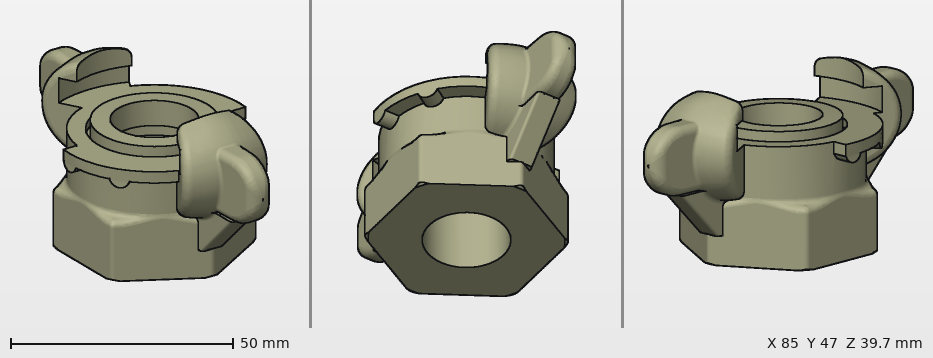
import cadquery as cq
import math

SELECT_MARGIN = 0.1
CLEAR_Z = 51
CLEAR_X = 51

HEX_SIDES = 6
ACROSS_FLATS = 40.0
HEX_CORNER_RADIUS = 1.4
SHOULDER_Z = 14.8
SHOULDER_SWEEP = 1.4
SHOULDER_EDGE_RADIUS = 1.5
BARREL_RADIUS = 19.8
FOOT_BEVEL_ANGLE = 30
HEX_FOOT_RADIUS = 22.2

FLANGE_DIAMETER = 47.0
FLANGE_RADIUS = FLANGE_DIAMETER / 2
FLANGE_BOTTOM_Z = 25.6
FLANGE_TOP_Z = 28.4
LUG_RADIUS = 2.5
LUG_ANGLES = [0, 35]
LUG_BOTTOM_Z = 23.8

CLAW_ROOT_X = 16.15
CLAW_AXIS_X = 18.95
CLAW_AXIS_Z = 27.3
CLAW_RADIUS = 12.6
CLAW_CROWN_RADIUS = 18.7
CLAW_FLANK_ANGLE = 20.3
CLAW_BARREL_HALF_LENGTH = 15.3
CLAW_SIDE_ANGLE = 28
CLAW_TIP_X = 19.7
CLAW_TIP_HALF_WIDTH = 7.65
CLAW_EDGE_RADIUS = 2.0
LIP_RADIUS = 21.1
LIP_BOTTOM_Z = 34.5
POCKET_RADIUS = 25.6

HANDLE_TIP_X = 42.5
HANDLE_BOTTOM_Z = 18.7
HANDLE_TOP_Z = 34.75
HANDLE_ROOT_HALF_WIDTH = 3.5
HANDLE_TIP_HALF_WIDTH = 3.1
HANDLE_TIP_DEPTH = 2.9
HANDLE_INNER_X = 26.3
HANDLE_ROOT_X = 31.0
HANDLE_EDGE_RADIUS = 2.0
ROOT_FILLET = 0.85

RIB_WIDTH = 6.0
RIB_BOTTOM_Z = 7.05
RIB_INNER_X = 15.3
RIB_FOOT_X = 22.8
RIB_EDGE_RADIUS = 0.7

BORE_RADIUS = 20.0 / 2
LEDGE_FILLET = 1.2
CHAMBER_RADIUS = 29.5 / 2
LEDGE_Z = 19.9
GROOVE_RADIUS = 35.0 / 2
SEAL_HOLE_RADIUS = 31.0 / 2
SEAL_BOTTOM_Z = 24.5
SEAL_LIP_TOP_Z = 26.3
SEAL_LIP_RADIUS = 34.5 / 2
SEAL_NECK_RADIUS = 29.0 / 2
SEAL_SHOULDER_Z = 30.5
SEAL_TOP_Z = 30.7


def cylinder(radius, bottom, top):
    return cq.Workplane("XY").workplane(offset=bottom).circle(radius).extrude(top - bottom)


def hexagon_base():
    """Hexagon with a bevelled foot; its top shoulder sweeps up in a hollow curve to the barrel."""
    corner = ACROSS_FLATS / 2 / math.cos(math.radians(180 / HEX_SIDES))
    foot_rise = (corner - HEX_FOOT_RADIUS) * math.tan(math.radians(FOOT_BEVEL_ANGLE))
    sweep_top_z = SHOULDER_Z + SHOULDER_SWEEP
    sweep_middle = SHOULDER_SWEEP * (1 - math.sqrt(0.5))
    prism = (
        cq.Workplane("XY")
        .polygon(HEX_SIDES, 2 * corner)
        .extrude(FLANGE_TOP_Z)
        .edges("|Z")
        .fillet(HEX_CORNER_RADIUS)
    )
    turned = (
        cq.Workplane("XZ")
        .lineTo(HEX_FOOT_RADIUS, 0)
        .lineTo(corner, foot_rise)
        .lineTo(corner, SHOULDER_Z)
        .lineTo(BARREL_RADIUS + SHOULDER_SWEEP, SHOULDER_Z)
        .threePointArc(
            (BARREL_RADIUS + sweep_middle, SHOULDER_Z + sweep_middle),
            (BARREL_RADIUS, sweep_top_z),
        )
        .lineTo(BARREL_RADIUS, FLANGE_TOP_Z)
        .lineTo(0, FLANGE_TOP_Z)
        .close()
        .revolve(360, (0, 0), (0, 1))
    )
    shoulder_band = cq.selectors.BoxSelector(
        (-corner, -corner, SHOULDER_Z - SELECT_MARGIN), (corner, corner, sweep_top_z)
    )
    return (
        prism.intersect(turned)
        .faces("#Z")
        .edges(shoulder_band)
        .fillet(SHOULDER_EDGE_RADIUS)
    )


def bayonet_sector():
    """Flange sector on the -Y side with two radial half-round lugs under it."""
    ring = cylinder(FLANGE_RADIUS, FLANGE_BOTTOM_Z, FLANGE_TOP_Z)
    sector = (
        cq.Workplane("XY")
        .box(LUG_RADIUS + FLANGE_RADIUS, FLANGE_RADIUS, FLANGE_TOP_Z, centered=False)
        .translate((-LUG_RADIUS, -FLANGE_RADIUS, 0))
    )
    sector_flange = ring.intersect(sector)
    lug = (
        cq.Workplane("XZ")
        .center(0, LUG_BOTTOM_Z + LUG_RADIUS)
        .circle(LUG_RADIUS)
        .extrude(CLEAR_X)
    )
    envelope = cylinder(FLANGE_RADIUS, 0, FLANGE_BOTTOM_Z + LUG_RADIUS)
    for angle in LUG_ANGLES:
        turned = lug.rotate((0, 0, 0), (0, 0, 1), angle)
        sector_flange = sector_flange.union(turned.intersect(envelope))
    return sector_flange


def claw_body():
    """Crowned barrel lying along Y, trimmed to a wedge and rounded along its side edges."""
    flank = math.radians(CLAW_FLANK_ANGLE)
    arc_y = CLAW_CROWN_RADIUS * math.sin(flank)
    arc_radius = CLAW_RADIUS - CLAW_CROWN_RADIUS * (1 - math.cos(flank))
    end_radius = arc_radius - (CLAW_BARREL_HALF_LENGTH - arc_y) * math.tan(flank)
    crowned = (
        cq.Workplane("XY", origin=(CLAW_AXIS_X, 0, CLAW_AXIS_Z))
        .moveTo(0, -CLAW_BARREL_HALF_LENGTH)
        .lineTo(-end_radius, -CLAW_BARREL_HALF_LENGTH)
        .spline(
            [
                (-arc_radius, -arc_y),
                (-CLAW_RADIUS, 0),
                (-arc_radius, arc_y),
                (-end_radius, CLAW_BARREL_HALF_LENGTH),
            ],
            includeCurrent=True,
        )
        .lineTo(0, CLAW_BARREL_HALF_LENGTH)
        .close()
        .revolve(360, (0, 0), (0, 1))
    )
    slope = math.tan(math.radians(CLAW_SIDE_ANGLE))
    apex_x = CLAW_TIP_X - CLAW_TIP_HALF_WIDTH / slope
    root_y = (CLAW_ROOT_X - apex_x) * slope
    far_y = (CLEAR_X - apex_x) * slope
    wedge = (
        cq.Workplane("XY")
        .polyline([
            (CLAW_ROOT_X, -root_y),
            (CLEAR_X, -far_y),
            (CLEAR_X, far_y),
            (CLAW_ROOT_X, root_y),
        ])
        .close()
        .extrude(CLEAR_Z)
    )
    body = crowned.intersect(wedge)
    side_edges = body.faces("<Y or >Y").edges("not |Z")
    return side_edges.fillet(CLAW_EDGE_RADIUS)


def claw_clearance():
    """Space inside the claw: a wide pocket above the flange under a narrower lip."""
    lip = cylinder(LIP_RADIUS, FLANGE_TOP_Z, CLEAR_Z)
    return lip.union(cylinder(POCKET_RADIUS, FLANGE_TOP_Z, LIP_BOTTOM_Z))


def handle():
    """Tapered finger grip with a round end and rounded edges."""
    end_radius = (HANDLE_TOP_Z - HANDLE_BOTTOM_Z) / 2
    middle_z = HANDLE_BOTTOM_Z + end_radius
    profile = (
        cq.Workplane("XZ")
        .moveTo(HANDLE_INNER_X, HANDLE_BOTTOM_Z)
        .lineTo(HANDLE_TIP_X - end_radius, HANDLE_BOTTOM_Z)
        .threePointArc((HANDLE_TIP_X, middle_z), (HANDLE_TIP_X - end_radius, HANDLE_TOP_Z))
        .lineTo(HANDLE_INNER_X, HANDLE_TOP_Z)
        .close()
        .extrude(HANDLE_ROOT_HALF_WIDTH * 2, both=True)
    )
    tip_start_x = HANDLE_TIP_X - HANDLE_TIP_DEPTH
    taper = (HANDLE_ROOT_HALF_WIDTH - HANDLE_TIP_HALF_WIDTH) / (tip_start_x - HANDLE_ROOT_X)
    inner_half = HANDLE_ROOT_HALF_WIDTH + (HANDLE_ROOT_X - HANDLE_INNER_X) * taper
    plan = (
        cq.Workplane("XY")
        .moveTo(HANDLE_INNER_X, -inner_half)
        .lineTo(tip_start_x, -HANDLE_TIP_HALF_WIDTH)
        .threePointArc((HANDLE_TIP_X, 0), (tip_start_x, HANDLE_TIP_HALF_WIDTH))
        .lineTo(HANDLE_INNER_X, inner_half)
        .close()
        .extrude(CLEAR_Z)
    )
    return profile.intersect(plan).edges("not (|Y or |Z)").fillet(HANDLE_EDGE_RADIUS)


def rib():
    """Sloping rib from the hexagon corner up to the underside of the handle."""
    rise = HANDLE_BOTTOM_Z - RIB_BOTTOM_Z
    return (
        cq.Workplane("XZ")
        .polyline([
            (RIB_INNER_X, RIB_BOTTOM_Z),
            (RIB_FOOT_X, RIB_BOTTOM_Z),
            (RIB_FOOT_X + rise, RIB_BOTTOM_Z + rise),
            (RIB_INNER_X, RIB_BOTTOM_Z + rise),
        ])
        .close()
        .extrude(RIB_WIDTH / 2, both=True)
        .faces(cq.selectors.DirectionMinMaxSelector(cq.Vector(1, 0, -1), True))
        .edges("not |Y")
        .fillet(RIB_EDGE_RADIUS)
    )


def arm():
    """Claw, handle and rib joined with small root fillets."""
    claw = claw_body().union(handle())
    root_y = HANDLE_ROOT_HALF_WIDTH + SELECT_MARGIN
    roots = cq.selectors.BoxSelector(
        (HANDLE_INNER_X, -root_y, HANDLE_BOTTOM_Z - SELECT_MARGIN),
        (HANDLE_ROOT_X, root_y, HANDLE_TOP_Z + SELECT_MARGIN),
    )
    claw = claw.edges(roots).edges("%BSPLINE").fillet(ROOT_FILLET)
    claw = claw.union(rib())
    rib_y = RIB_WIDTH / 2 + SELECT_MARGIN
    rib_roots = cq.selectors.BoxSelector(
        (CLAW_ROOT_X + SELECT_MARGIN, -rib_y, RIB_BOTTOM_Z),
        (HANDLE_INNER_X, rib_y, HANDLE_BOTTOM_Z - SELECT_MARGIN),
    )
    return claw.edges(rib_roots).edges("%BSPLINE").fillet(ROOT_FILLET)


def seal_cavity():
    """Through bore with a rounded ledge, a seal chamber, a ring groove and the seal's opening."""
    fillet_middle = LEDGE_FILLET * (1 - math.sqrt(0.5))
    return (
        cq.Workplane("XZ")
        .lineTo(BORE_RADIUS, 0)
        .lineTo(BORE_RADIUS, LEDGE_Z - LEDGE_FILLET)
        .threePointArc(
            (BORE_RADIUS + fillet_middle, LEDGE_Z - fillet_middle),
            (BORE_RADIUS + LEDGE_FILLET, LEDGE_Z),
        )
        .lineTo(CHAMBER_RADIUS, LEDGE_Z)
        .lineTo(CHAMBER_RADIUS, SEAL_BOTTOM_Z)
        .lineTo(GROOVE_RADIUS, SEAL_BOTTOM_Z)
        .lineTo(GROOVE_RADIUS, SEAL_LIP_TOP_Z)
        .lineTo(SEAL_HOLE_RADIUS, SEAL_LIP_TOP_Z)
        .lineTo(SEAL_HOLE_RADIUS, FLANGE_TOP_Z)
        .lineTo(0, FLANGE_TOP_Z)
        .close()
        .revolve(360, (0, 0), (0, 1))
    )


def half_turn(shape):
    return shape.rotate((0, 0, 0), (0, 0, 1), 180)


def make_housing():
    """Base with an arm and a flange sector on each side, half a turn apart."""
    body = hexagon_base()
    for feature in [arm().cut(claw_clearance()), bayonet_sector()]:
        body = body.union(feature).union(half_turn(feature))
    return body.cut(seal_cavity())


def make_seal():
    """Ring seal held by a lip in the groove; its top slopes gently down outwards."""
    return (
        cq.Workplane("XZ")
        .polyline([
            (BORE_RADIUS, SEAL_BOTTOM_Z),
            (SEAL_LIP_RADIUS, SEAL_BOTTOM_Z),
            (SEAL_LIP_RADIUS, SEAL_LIP_TOP_Z),
            (SEAL_NECK_RADIUS, SEAL_LIP_TOP_Z),
            (SEAL_NECK_RADIUS, SEAL_SHOULDER_Z),
            (BORE_RADIUS, SEAL_TOP_Z),
        ])
        .close()
        .revolve(360, (0, 0), (0, 1))
    )


housing = make_housing()
seal = make_seal()
result = cq.Compound.makeCompound([housing.val(), seal.val()])